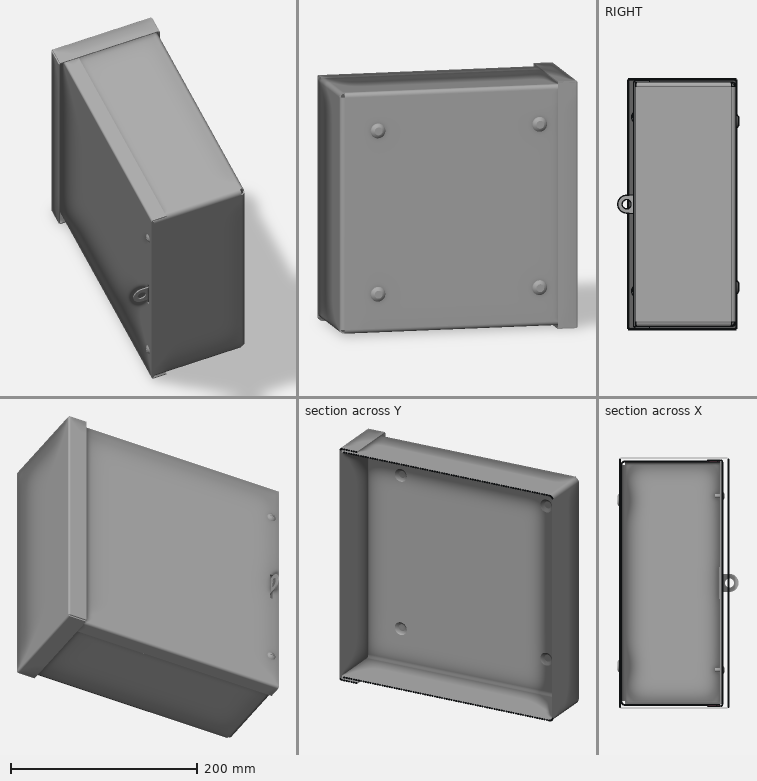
import cadquery as cq
import math

length = 261.2
hood_height = 270.0
sheet = 1.3

hood_depth = 21.9
hood_back = 117.7
hood_bend = 2.2

door_height = 265.5
door_front = 6.5
door_flange_end = 23.5
door_bend = 2.7

box_bend = 4.9
box_height = door_height - 2 * sheet
box_front = door_front + sheet
box_back = hood_back - sheet
lip_width = 16.2
lip_back = box_front + sheet

dome_diameter = 16.2
dome_flat_diameter = 8.6
dome_above_hood = 2.0
dome_height = dome_above_hood + sheet
dome_spacing = 178.0
dome_first_x = 41.8

screw_x = 251.8
screw_spacing = 186.8
head_diameter = 9.7
head_height = 2.2
shank_diameter = 4.3
shank_projection = 5.5
shank_end = lip_back + shank_projection
cross_length = 4.3
cross_width = 1.0
cross_depth = 1.0

slot_width = 3.2
slot_height = 31.8
slot_x = 251.8
hasp_height = 19.5
hasp_hole = 9.7
hasp_eye_y = -0.8
hasp_left = slot_x - slot_width / 2
hasp_foot_width = 7.5
hasp_foot_overlap = 1.3
hasp_foot_height = slot_height + 2 * hasp_foot_overlap


def block(x0, x1, y0, y1, height):
    """Box between the given X and Y limits, centred on Z = 0."""
    corner = cq.Workplane("XY", origin=(x0, y0, 0))
    return corner.box(x1 - x0, y1 - y0, height, centered=(False, False, True))


def rod(x, z, diameter, y0, y1):
    """Cylinder along Y between y0 and y1."""
    return cq.Workplane("XZ", origin=(x, y0, z)).circle(diameter / 2).extrude(y0 - y1)


def cap_radius(base_diameter, height):
    """Radius of the sphere whose cap has the given base diameter and height."""
    return ((base_diameter / 2) ** 2 + height**2) / (2 * height)


def flattened_dome(x, z, base_y, inset):
    """Part of a dome, shrunk by inset, that lies between the plane Y = base_y and its flat top."""
    base_radius = dome_diameter / 2
    flat_radius = dome_flat_diameter / 2
    centre_drop = (base_radius**2 - flat_radius**2 - dome_height**2) / (2 * dome_height)
    sphere_radius = math.hypot(base_radius, centre_drop)
    sphere = cq.Workplane("XY").sphere(sphere_radius - inset).translate((x, box_back - centre_drop, z))
    top_y = box_back + dome_height - inset
    return sphere.intersect(rod(x, z, 2 * dome_diameter, base_y, top_y))


def make_hood():
    outer = block(0, hood_depth, 0, hood_back, hood_height).faces("<X").edges().fillet(hood_bend)
    cavity = block(sheet, hood_depth, sheet, hood_back - sheet, hood_height - 2 * sheet)
    cavity = cavity.faces("<X").edges().fillet(hood_bend - sheet)
    hood = outer.cut(cavity)
    slits = block(0, hood_depth, 0, hood_back, hood_height)
    slits = slits.cut(block(0, hood_depth, sheet, hood_back - sheet, hood_height))
    slits = slits.cut(block(0, hood_depth, 0, hood_back, hood_height - 2 * sheet))
    return hood.cut(slits)


def make_door():
    outer = block(hood_bend, length, door_front, door_flange_end, door_height)
    outer = outer.faces("<Y").edges("|X").fillet(door_bend)
    cavity = block(hood_bend, length, box_front, door_flange_end, box_height)
    cavity = cavity.faces("<Y").edges("|X").fillet(door_bend - sheet)
    return outer.cut(cavity)


def rounded_shell_block(inset):
    """Box outline shrunk by inset at the back, the Z walls and the +X wall, with its bends rounded."""
    body = block(hood_bend, length - inset, lip_back, box_back - inset, box_height - 2 * inset)
    back_edges = body.faces(">Y").edges("not <X")
    end_edges = body.faces(">X").edges("|Y")
    return body.newObject(back_edges.vals() + end_edges.vals()).fillet(box_bend - inset)


def corner_relief(side):
    """Square notch that frees the bends at one back corner."""
    bend_x = length - box_bend
    bend_y = box_back - box_bend
    start_z = side * (box_height / 2 - box_bend)
    notch = cq.Workplane("XY", origin=(bend_x, bend_y, start_z))
    return notch.rect(box_bend, box_bend, centered=False).extrude(side * box_bend)


def make_box():
    box = rounded_shell_block(0).cut(rounded_shell_block(sheet))
    lip = block(length - lip_width, length, box_front, lip_back, box_height - 2 * sheet)
    box = box.union(lip)
    for side in (-1, 1):
        box = box.cut(corner_relief(side))
    for x in (dome_first_x, dome_first_x + dome_spacing):
        for z in (-dome_spacing / 2, dome_spacing / 2):
            box = box.union(flattened_dome(x, z, box_back - sheet, 0))
            box = box.cut(flattened_dome(x, z, box_back - 2 * sheet, sheet))
    return box


def make_screw(z):
    radius = cap_radius(head_diameter, head_height)
    head_y = door_front - head_height
    head = cq.Workplane("XY").sphere(radius).translate((screw_x, head_y + radius, z))
    head = head.intersect(rod(screw_x, z, head_diameter, head_y, door_front))
    cross_y = head_y + cross_depth / 2
    for size in ((cross_length, cross_width), (cross_width, cross_length)):
        groove = cq.Workplane("XY").box(size[0], cross_depth, size[1])
        head = head.cut(groove.translate((screw_x, cross_y, z)))
    return head.union(rod(screw_x, z, shank_diameter, door_front, shank_end))


def make_hasp():
    foot = block(hasp_left, hasp_left + hasp_foot_width, lip_back, lip_back + sheet, hasp_foot_height)
    neck = block(hasp_left, hasp_left + sheet, hasp_eye_y, lip_back, hasp_height)
    eye = cq.Workplane("YZ", origin=(hasp_left, hasp_eye_y, 0))
    hasp = foot.union(neck).union(eye.circle(hasp_height / 2).extrude(sheet))
    return hasp.cut(eye.circle(hasp_hole / 2).extrude(sheet))


hood = make_hood()
door = make_door()
box = make_box()
hasp = make_hasp()

slot = block(hasp_left, hasp_left + slot_width, door_front, lip_back, slot_height)
door = door.cut(slot)
box = box.cut(slot)

screws = []
for screw_z in (-screw_spacing / 2, screw_spacing / 2):
    screw_hole = rod(screw_x, screw_z, shank_diameter, door_front, shank_end)
    door = door.cut(screw_hole)
    box = box.cut(screw_hole)
    screws.append(make_screw(screw_z).val())

result = cq.Compound.makeCompound([hood.val(), door.val(), box.val(), hasp.val(), *screws])